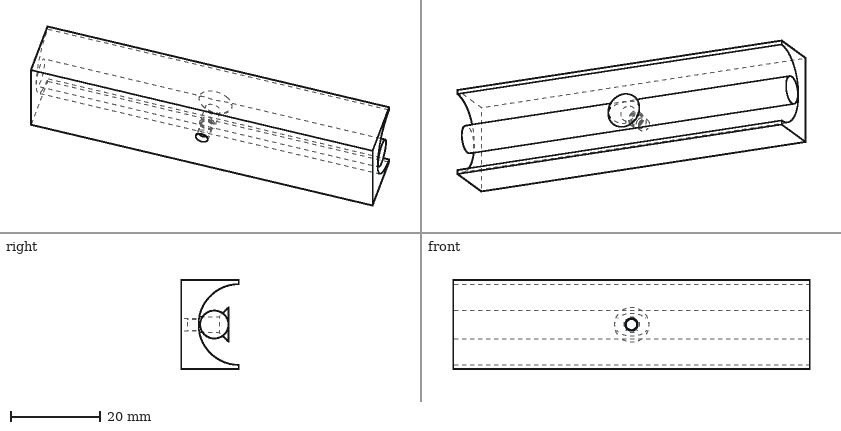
import cadquery as cq

length = 80.0
depth = 13.0
height = 20.0
channel_radius = 9.0
channel_floor = depth - channel_radius

rod_diameter = 6.3
rod_length = length
rod_center_y = 7.4

head_diameter = 7.8
head_top_y = 10.6
shank_diameter = 3.5
tip_diameter = 2.5
tip_end_y = 1.4
screw_hole_diameter = 2.8
head_height = (head_diameter - shank_diameter) / 2
head_base_y = head_top_y - head_height


def cylinder_along_x(diameter, cylinder_length, center_y):
    """Cylinder along X, centred on X = 0 and Z = 0."""
    return (
        cq.Workplane("YZ")
        .center(center_y, 0)
        .circle(diameter / 2)
        .extrude(cylinder_length / 2, both=True)
    )


def cylinder_along_y(diameter, start_y, end_y):
    """Cylinder on the Y axis from start_y to end_y."""
    return (
        cq.Workplane("XZ", origin=(0, start_y, 0))
        .circle(diameter / 2)
        .extrude(start_y - end_y)
    )


def make_housing():
    block = cq.Workplane("XY").box(length, depth, height).translate((0, depth / 2, 0))
    channel = cylinder_along_x(2 * channel_radius, length, depth)
    screw_hole = cylinder_along_y(screw_hole_diameter, 0, depth)
    return block.cut(channel).cut(screw_hole)


def make_screw(housing):
    """Screw with a thin tip, a wider shank seated on the curved channel wall and a conical head."""
    turned_screw = (
        cq.Workplane("XY")
        .moveTo(0, tip_end_y)
        .lineTo(tip_diameter / 2, tip_end_y)
        .lineTo(tip_diameter / 2, channel_floor)
        .lineTo(shank_diameter / 2, channel_floor)
        .lineTo(shank_diameter / 2, head_base_y)
        .lineTo(head_diameter / 2, head_top_y)
        .lineTo(0, head_top_y)
        .close()
        .revolve(360, (0, 0, 0), (0, 1, 0))
    )
    return turned_screw.cut(housing)


def make_rod(screw):
    """Rod with a countersunk cross hole that fits the screw."""
    return cylinder_along_x(rod_diameter, rod_length, rod_center_y).cut(screw)


housing = make_housing()
screw = make_screw(housing)
rod = make_rod(screw)

result = cq.Compound.makeCompound([*housing.solids().vals(), *rod.solids().vals(), *screw.solids().vals()])